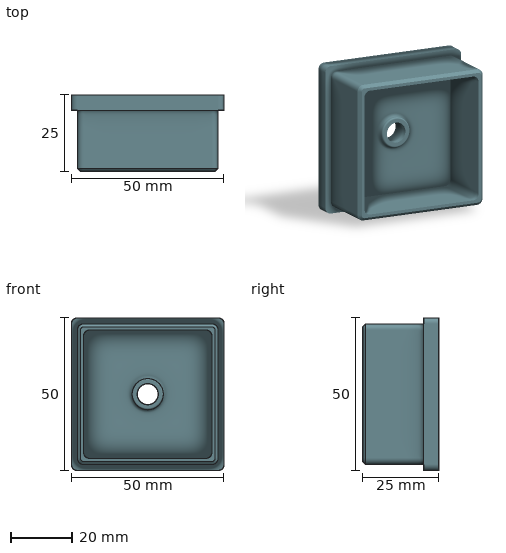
import cadquery as cq

flange_width = 50.0
flange_thickness = 5.0

total_depth = 25.0
flange_overhang = 2.0
wall_thickness = 2.0
rim_chamfer = 1.0
corner_radius = 2.0
body_width = flange_width - 2 * flange_overhang
body_depth = total_depth - flange_thickness
cavity_width = body_width - 2 * wall_thickness

floor_thickness = 5.0
floor_y = total_depth - floor_thickness

boss_height = 2.0
boss_radius = 5.1
boss_root_fillet = 1.0
boss_tip_fillet = 0.5
hole_diameter = 6.8


def rounded_square_block(width, front_y, depth):
    """Square block centred on X and Z, reaching from front_y towards +Y."""
    return (
        cq.Workplane("XZ", origin=(0, front_y, 0))
        .rect(width, width)
        .extrude(-depth)
        .edges("|Y")
        .fillet(corner_radius)
    )


def boss():
    """Round boss along Y, rounded at its tip and flared into the floor at its root."""
    tip_y = floor_y - boss_height
    flare_radius = boss_radius + boss_root_fillet
    return (
        cq.Workplane("XY")
        .moveTo(0, tip_y)
        .lineTo(boss_radius - boss_tip_fillet, tip_y)
        .radiusArc((boss_radius, tip_y + boss_tip_fillet), -boss_tip_fillet)
        .lineTo(boss_radius, floor_y - boss_root_fillet)
        .radiusArc((flare_radius, floor_y), boss_root_fillet)
        .lineTo(flare_radius, total_depth)
        .lineTo(0, total_depth)
        .close()
        .revolve(360, (0, 0, 0), (0, 1, 0))
    )


body = rounded_square_block(body_width, 0, body_depth).faces("<Y").chamfer(rim_chamfer)
flange = rounded_square_block(flange_width, body_depth, flange_thickness)
cavity = rounded_square_block(cavity_width, 0, floor_y)
hole = cq.Workplane("XZ").circle(hole_diameter / 2).extrude(-total_depth)

result = body.union(flange).cut(cavity).union(boss()).cut(hole)